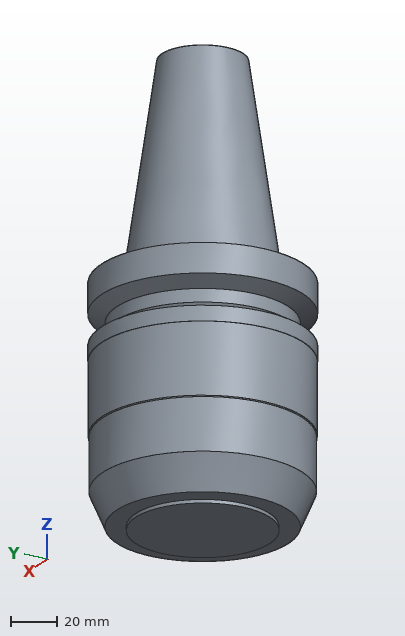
import cadquery as cq
import math

total_length = 218.1

gauge_dia = 69.85
taper_length = 101.8
taper_ratio = 7 / 24
taper_top_dia = gauge_dia - taper_ratio * taper_length
flange_gap = 1.5

flange_dia = 100.0
flange_bottom_z = -38.0
groove_dia = 85.0
groove_center_z = -23.2
groove_floor_width = 6.35
groove_flank_angle = 30.0
groove_depth = (flange_dia - groove_dia) / 2
flank_height = groove_depth * math.tan(math.radians(groove_flank_angle))
floor_top_z = groove_center_z + groove_floor_width / 2
floor_bottom_z = groove_center_z - groove_floor_width / 2

body_dia = 99.7
body_length = 35.0
nut_dia = 99.0
nut_length = 25.4
body_chamfer_height = 0.5
nose_end_dia = 85.0
end_ring_dia = 66.49
end_ring_length = 1.7

bottom_z = taper_length - total_length
body_bottom_z = flange_bottom_z - body_length
nut_bottom_z = body_bottom_z - nut_length
nose_end_z = bottom_z + end_ring_length


def make_tool_holder():
    """Revolve the half section, drawn as (radius, height), about the Z axis."""
    section = (
        cq.Workplane("XZ")
        .moveTo(0, taper_length)
        .lineTo(taper_top_dia / 2, taper_length)
        .lineTo(gauge_dia / 2, 0)
        .lineTo(gauge_dia / 2, -flange_gap)
        .lineTo(flange_dia / 2, -flange_gap)
        .lineTo(flange_dia / 2, floor_top_z + flank_height)
        .lineTo(groove_dia / 2, floor_top_z)
        .lineTo(groove_dia / 2, floor_bottom_z)
        .lineTo(flange_dia / 2, floor_bottom_z - flank_height)
        .lineTo(flange_dia / 2, flange_bottom_z)
        .lineTo(body_dia / 2, flange_bottom_z)
        .lineTo(body_dia / 2, body_bottom_z + body_chamfer_height)
        .lineTo(nut_dia / 2, body_bottom_z)
        .lineTo(nut_dia / 2, nut_bottom_z)
        .lineTo(nose_end_dia / 2, nose_end_z)
        .lineTo(end_ring_dia / 2, nose_end_z)
        .lineTo(end_ring_dia / 2, bottom_z)
        .lineTo(0, bottom_z)
        .close()
    )
    return section.revolve(360, (0, 0, 0), (0, 1, 0))


result = make_tool_holder()